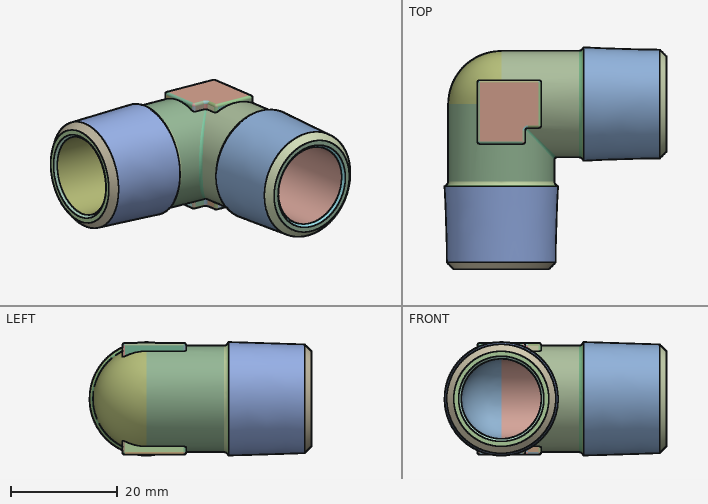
import cadquery as cq

body_radius = 10.0
bore_radius = 7.5
leg_length = 31.0
crotch_fillet = 0.5

spigot_radius = 10.67
shoulder_start = 14.97
shoulder_length = 0.48
shoulder_fillet = 0.8
taper_slope = 1 / 32
outer_chamfer = 1.3
bore_chamfer = 0.5

pad_reach = 4.5
pad_size = 12.0
pad_notch = 3.0
pad_height = 10.5
pad_fillet = 0.5

tolerance = 0.001

far_edge = pad_size - pad_reach
notch_edge = far_edge - pad_notch
taper_start = shoulder_start + shoulder_length
taper_end = leg_length - outer_chamfer
tip_radius = spigot_radius - taper_slope * (taper_end - taper_start)


def on_both_legs(leg):
    """Return a shape built along +X together with its copy along -Y."""
    return leg.union(leg.rotate((0, 0, 0), (0, 0, 1), -90))


def make_leg():
    """Barrel, shoulder, taper and end chamfer, revolved about the X axis."""
    leg = (
        cq.Workplane("XZ")
        .lineTo(0, body_radius)
        .lineTo(shoulder_start, body_radius)
        .lineTo(taper_start, spigot_radius)
        .lineTo(taper_end, tip_radius)
        .lineTo(leg_length, tip_radius - outer_chamfer)
        .lineTo(leg_length, 0)
        .close()
        .revolve(360, (0, 0, 0), (1, 0, 0))
    )
    shoulder_root = cq.selectors.NearestToPointSelector((shoulder_start, 0, 0))
    return leg.edges(shoulder_root).fillet(shoulder_fillet)


def is_inside_corner(edge):
    """Tell whether an edge is part of the curved seam where the legs meet inside the elbow."""
    middle = edge.positionAt(0.5)
    on_mitre = abs(middle.x + middle.y) < tolerance
    clear_of_pads = middle.x > notch_edge + pad_fillet
    return on_mitre and clear_of_pads


def round_crotch(elbow):
    """Fillet the inside corner between the legs, up to the pad notches."""
    inside_corner = elbow.edges().filter(is_inside_corner)
    return inside_corner.fillet(crotch_fillet)


def make_bore():
    """Straight bore with a chamfered mouth."""
    return (
        cq.Workplane("XZ")
        .lineTo(0, bore_radius)
        .lineTo(leg_length - bore_chamfer, bore_radius)
        .lineTo(leg_length, bore_radius + bore_chamfer)
        .lineTo(leg_length, 0)
        .close()
        .revolve(360, (0, 0, 0), (1, 0, 0))
    )


def make_pads():
    """L-shaped block through the elbow, giving a rounded pad on top and bottom."""
    block = (
        cq.Workplane("XY", origin=(0, 0, -pad_height))
        .moveTo(-pad_reach, pad_reach)
        .lineTo(far_edge, pad_reach)
        .lineTo(far_edge, -notch_edge)
        .lineTo(notch_edge, -notch_edge)
        .lineTo(notch_edge, -far_edge)
        .lineTo(-pad_reach, -far_edge)
        .close()
        .extrude(2 * pad_height)
    )
    return block.edges("|Z").fillet(pad_fillet).faces("|Z").edges().fillet(pad_fillet)


elbow_ball = cq.Workplane("XY").sphere(body_radius)
elbow = on_both_legs(make_leg()).union(elbow_ball).union(make_pads())
bore = on_both_legs(make_bore()).union(cq.Workplane("XY").sphere(bore_radius))
result = round_crotch(elbow).cut(bore)